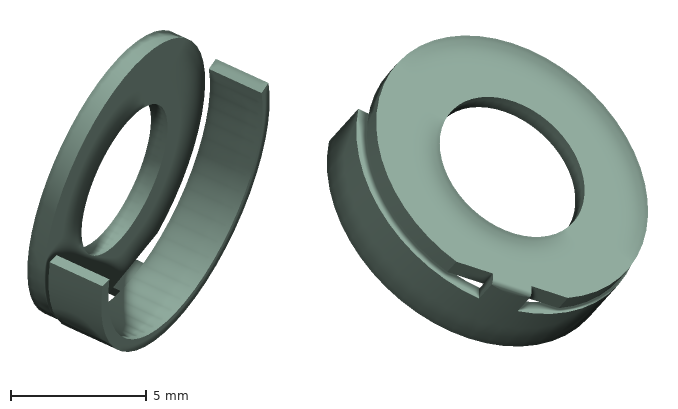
import cadquery as cq
import math

washer_diameter = 11.43
washer_radius = washer_diameter / 2
hole_radius = 3.05
washer_thickness = 0.72

band_radius = 5.97
band_thickness = 0.5
band_start = 1.07
band_end = 3.35
band_rise_angle = 10.0
band_center_z = band_radius - washer_radius
band_inner_radius = band_radius - band_thickness

tab_width = 1.62
tab_top_z = band_thickness - washer_radius
tab_bend_radius = 0.25


def band_point(radius, angle):
    """Point in the YZ plane at an angle from +Y about the band centre."""
    radians = math.radians(angle)
    return (radius * math.cos(radians), band_center_z + radius * math.sin(radians))


def make_washer():
    """Washer with a flat along its bottom edge."""
    ring = cq.Workplane("YZ").circle(washer_radius).circle(hole_radius).extrude(washer_thickness)
    below_flat = (
        cq.Workplane("YZ")
        .center(0, tab_top_z)
        .rect(2 * washer_radius, 2 * band_thickness)
        .extrude(washer_thickness)
        .translate((0, 0, -band_thickness))
    )
    return ring.cut(below_flat)


def make_band():
    """Arc-shaped strip with radial ends, open at the top."""
    right_end = band_rise_angle
    left_end = 180 - band_rise_angle
    bottom = -90
    return (
        cq.Workplane("YZ", origin=(band_start, 0, 0))
        .moveTo(*band_point(band_radius, right_end))
        .threePointArc(band_point(band_radius, bottom), band_point(band_radius, left_end))
        .lineTo(*band_point(band_inner_radius, left_end))
        .threePointArc(band_point(band_inner_radius, bottom), band_point(band_inner_radius, right_end))
        .close()
        .extrude(band_end - band_start)
    )


def make_tab():
    """Straight tab with a rounded outer bend, trimmed to the outside of the band."""
    block = (
        cq.Workplane("XY", origin=(0, 0, -washer_radius))
        .rect(2 * band_start, tab_width)
        .extrude(band_thickness)
        .translate((band_start, 0, 0))
        .edges("<X and <Z")
        .fillet(tab_bend_radius)
    )
    band_envelope = cq.Workplane("YZ").center(0, band_center_z).circle(band_radius).extrude(band_end)
    return block.intersect(band_envelope)


result = make_washer().union(make_tab()).union(make_band())